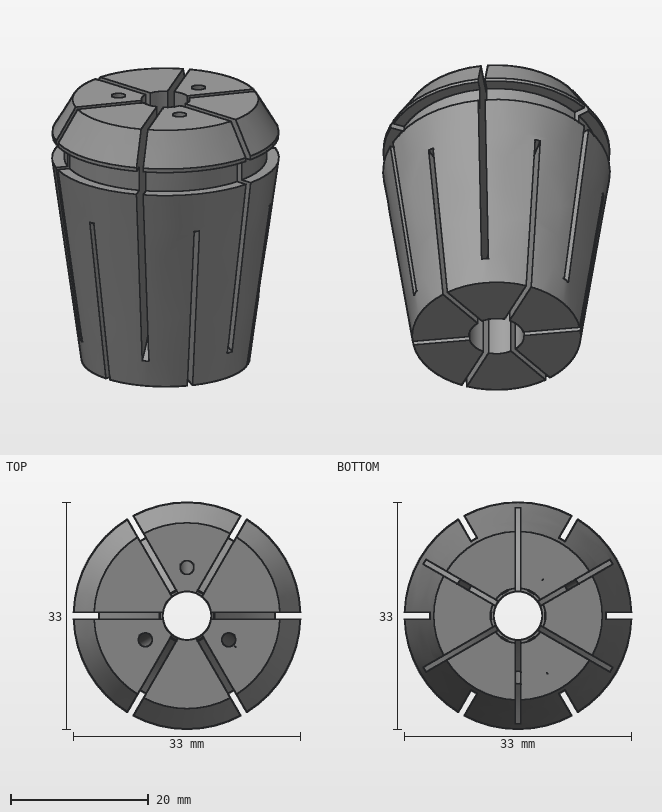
import cadquery as cq
import math

length = 40.0
max_diameter = 33.0
nose_diameter = 24.5
shoulder_z = 31.0
groove_diameter = 29.45
rim_z = 34.5
rim_height = 0.55
rim_diameter = 32.9
face_diameter = 27.0

bore_diameter = 7.0
relief_diameter = 8.0
relief_depth = 14.0

slot_count = 6
slot_pitch = 360.0 / slot_count
blade_radius = 20.0
face_slot_width = 1.0
face_slot_blade_offset = 22.4
face_slot_blade_z = 21.6
nose_slot_width = 0.8
nose_slot_blade_offset = 21.9
nose_slot_blade_z = 5.95

hole_count = 3
hole_diameter = 2.0
hole_circle_radius = 7.0
hole_depth = 20.0
hole_start_angle = 90.0
hole_tilt = 6.0

clearance = 2.0


def turned_body():
    """Long taper, groove and conical head, with the stepped bore through them."""
    outline = [
        (0, 0),
        (nose_diameter / 2, 0),
        (max_diameter / 2, shoulder_z),
        (groove_diameter / 2, shoulder_z),
        (groove_diameter / 2, rim_z),
        (rim_diameter / 2, rim_z),
        (rim_diameter / 2, rim_z + rim_height),
        (face_diameter / 2, length),
        (0, length),
    ]
    body = cq.Workplane("XZ").polyline(outline).close().revolve(360, (0, 0, 0), (0, 1, 0))
    bore = cq.Workplane("XY").circle(bore_diameter / 2).extrude(length)
    relief = cq.Workplane("XY").circle(relief_diameter / 2).extrude(relief_depth)
    return body.cut(bore).cut(relief)


def saw_slot(width, blade_offset, blade_z, end_z):
    """Cutter in the +X half plane: a blade of the given width, run out axially to end_z."""
    inner = blade_offset - blade_radius
    outer = blade_offset + blade_radius
    crown_z = blade_z + math.copysign(blade_radius, blade_z - end_z)
    return (
        cq.Workplane("XZ")
        .moveTo(inner, end_z)
        .lineTo(inner, blade_z)
        .threePointArc((blade_offset, crown_z), (outer, blade_z))
        .lineTo(outer, end_z)
        .close()
        .extrude(width / 2, both=True)
    )


def cut_slots(body, cutter, start_angle):
    """Repeat a slot cutter evenly around the axis."""
    for index in range(slot_count):
        angle = start_angle + index * slot_pitch
        body = body.cut(cutter.rotate((0, 0, 0), (0, 0, 1), angle))
    return body


def drilled_holes():
    """Round holes from the face into alternate nose slots, evenly spaced and leaning outward with depth."""
    drill = cq.Workplane("XY").workplane(offset=-hole_depth).circle(hole_diameter / 2)
    drill = drill.extrude(hole_depth + clearance)
    drill = drill.rotate((0, 0, 0), (0, 1, 0), -hole_tilt)
    drill = drill.translate((hole_circle_radius, 0, length))
    holes = cq.Workplane("XY")
    for index in range(hole_count):
        angle = hole_start_angle + index * 360.0 / hole_count
        holes = holes.add(drill.rotate((0, 0, 0), (0, 0, 1), angle))
    return holes.combine()


face_slot = saw_slot(face_slot_width, face_slot_blade_offset, face_slot_blade_z, length + clearance)
nose_slot = saw_slot(nose_slot_width, nose_slot_blade_offset, nose_slot_blade_z, -clearance)

collet = turned_body()
collet = cut_slots(collet, face_slot, 0)
collet = cut_slots(collet, nose_slot, slot_pitch / 2)
collet = collet.cut(drilled_holes())

result = collet